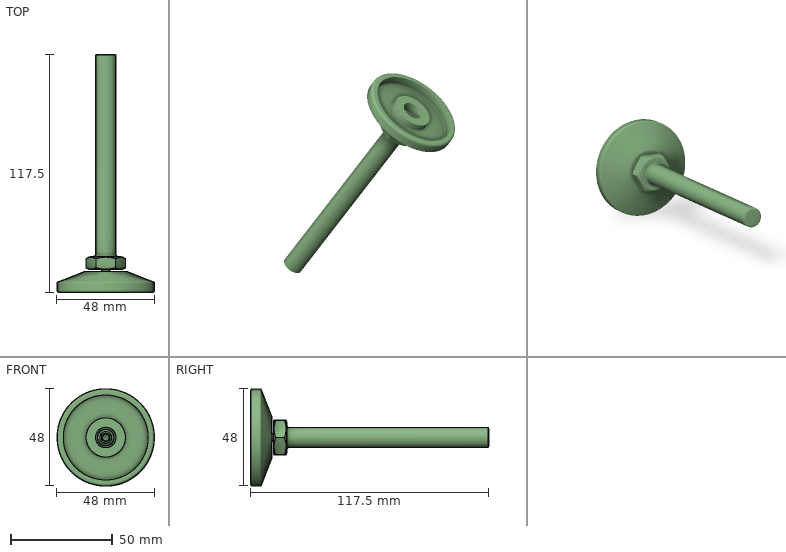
import cadquery as cq
import math


total_length = 117.5

pad_diameter = 48.0
pad_rim_height = 5.0
pad_height = 10.5
pad_top_diameter = 20.7
pad_shoulder_fillet = 0.6
pad_edge_fillet = 1.2
recess_diameter = 42.0
recess_depth = 4.8
boss_diameter = 19.4
boss_setback = 1.3
recess_fillet = 0.7
bore_diameter = 10.1
bore_depth = 5.3

head_diameter = 8.1
head_bevel_diameter = 7.0
head_face_diameter = 5.9
head_bevel_height = 0.4
head_crown_height = 0.2
head_seat_depth = 2.4
neck_diameter = 4.0

socket_width = 4.0
socket_depth = 1.4
socket_corner_angle = 90.0
drill_diameter = 3.4
drill_point_angle = 118.0

collar_start = 11.4
collar_height = 6.2
collar_width = 17.0
collar_corner_angle = 0.0
collar_face_diameter = 16.5
collar_chamfer_angle = 30.0
washer_diameter = 15.3
washer_height = 0.2
shaft_diameter = 10.0
shaft_root_fillet = 1.0
shaft_chamfer_length = 0.4
shaft_chamfer_width = 0.7

bore_floor = boss_setback + bore_depth
head_bevel_end = bore_floor - head_bevel_height
head_face = head_bevel_end - head_crown_height
head_back = bore_floor + head_seat_depth
collar_end = collar_start + collar_height
washer_end = collar_end + washer_height


def cylinder(diameter, start, end):
    """Solid cylinder on the Y axis between two Y positions."""
    plane = cq.Workplane("XZ", origin=(0, start, 0))
    return plane.circle(diameter / 2).extrude(start - end)


def cone(start_diameter, start, end_diameter, end):
    """Solid cone (pointed when end_diameter is 0) on the Y axis."""
    length = end - start
    solid = cq.Solid.makeCone(
        start_diameter / 2, end_diameter / 2, length, cq.Vector(0, start, 0), cq.Vector(0, 1, 0)
    )
    return cq.Workplane(solid)


def hexagon(width, start, end, corner_angle):
    """Hexagonal prism on the Y axis, with a corner at this angle in degrees from X."""
    corner_diameter = width / math.cos(math.pi / 6)
    plane = cq.Workplane("XZ", origin=(0, start, 0))
    prism = plane.polygon(6, corner_diameter).extrude(start - end)
    return prism.rotate((0, 0, 0), (0, 1, 0), corner_angle)


def make_pad():
    """Round pad with a conical top, a ring recess underneath and a stepped bore."""
    body = cylinder(pad_diameter, 0, pad_rim_height)
    body = body.faces("<Y").edges().fillet(pad_edge_fillet)
    body = body.union(cone(pad_diameter, pad_rim_height, pad_top_diameter, pad_height))
    body = body.faces("%CONE").edges("<Y").fillet(pad_shoulder_fillet)

    recess = cylinder(recess_diameter, 0, recess_depth)
    recess = recess.cut(cylinder(boss_diameter, boss_setback, recess_depth))
    recess = recess.faces(">Y").edges().fillet(recess_fillet)
    body = body.cut(recess)

    body = body.cut(cylinder(bore_diameter, 0, bore_floor))
    body = body.cut(cylinder(head_diameter, bore_floor, head_back))
    return body.cut(cylinder(neck_diameter, head_back, pad_height))


def make_collar():
    """Hexagon with both ends chamfered by a cone."""
    corner_diameter = collar_width / math.cos(math.pi / 6)
    slope = math.tan(math.radians(collar_chamfer_angle))
    drop = (corner_diameter - collar_face_diameter) / 2 * slope
    envelope = cone(collar_face_diameter, collar_start, corner_diameter, collar_start + drop)
    envelope = envelope.union(cylinder(corner_diameter, collar_start + drop, collar_end - drop))
    envelope = envelope.union(cone(corner_diameter, collar_end - drop, collar_face_diameter, collar_end))
    return hexagon(collar_width, collar_start, collar_end, collar_corner_angle).intersect(envelope)


def make_socket():
    """Hexagon socket ending in a drill point."""
    socket_floor = head_face + socket_depth
    point_length = drill_diameter / 2 / math.tan(math.radians(drill_point_angle / 2))
    point = cone(drill_diameter, socket_floor, 0, socket_floor + point_length)
    return hexagon(socket_width, head_face, socket_floor, socket_corner_angle).union(point)


def make_shaft():
    """Revolved shaft with a concave root fillet and a chamfered free end."""
    radius = shaft_diameter / 2
    root_radius = radius + shaft_root_fillet
    fillet_end = washer_end + shaft_root_fillet
    fillet_reach = shaft_root_fillet * (1 - math.sqrt(0.5))
    return (
        cq.Workplane("XY")
        .moveTo(0, washer_end)
        .lineTo(root_radius, washer_end)
        .threePointArc((radius + fillet_reach, washer_end + fillet_reach), (radius, fillet_end))
        .lineTo(radius, total_length - shaft_chamfer_length)
        .lineTo(radius - shaft_chamfer_width, total_length)
        .lineTo(0, total_length)
        .close()
        .revolve(360, (0, 0, 0), (0, 1, 0))
    )


def make_spindle():
    """Bevelled head with socket, neck, hexagon collar and shaft in one solid."""
    body = cone(head_face_diameter, head_face, head_bevel_diameter, head_bevel_end)
    body = body.union(cone(head_bevel_diameter, head_bevel_end, head_diameter, bore_floor))
    body = body.union(cylinder(head_diameter, bore_floor, head_back))
    body = body.union(cylinder(neck_diameter, head_back, collar_start))
    body = body.union(make_collar())
    body = body.union(cylinder(washer_diameter, collar_end, washer_end))
    body = body.union(make_shaft())
    return body.cut(make_socket())


pad = make_pad()
spindle = make_spindle()

result = cq.Compound.makeCompound([pad.val(), spindle.val()])